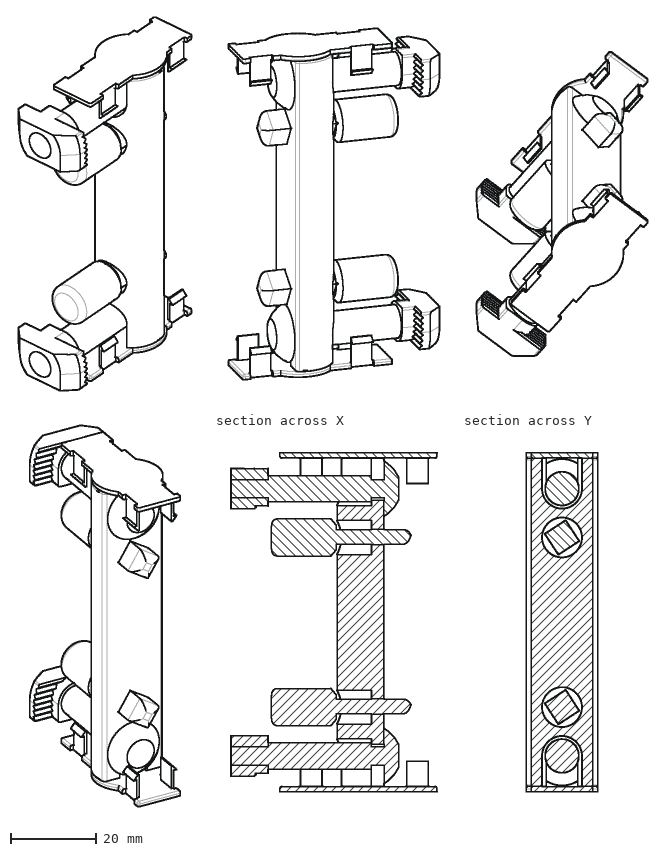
import cadquery as cq
import math

TOTAL_HEIGHT = 79.8
TOTAL_DEPTH = 48.5
SCREW_Z = 31.45
PIN_Z = 19.95
SIDES = (1, -1)

TUBE_RADIUS = 8.45
TUBE_FLAT_Y = 3.0
TUBE_CORNER_FILLET = 0.95
TUBE_END_FILLET = 0.4
BORE_DIAMETER = 9.3
REAR_SLOT_WIDTH = 7.35

CAP_THICKNESS = 1.3
CAP_WIDTH = 11.65
CAP_BACK_Y = 15.5
CAP_FRONT_Y = -21.55
CAP_FILLET = 0.5
CLIP_CENTERS_Y = (10.85, -14.1)
CLIP_WIDTH = 5.1
CLIP_THICKNESS = 0.55
CLIP_LENGTH = 7.3
NOTCH_DEPTH = 0.9
NOTCH_WIDTH = 5.6
BARB_HEIGHT = 1.3
BARB_TIP_WIDTH = 0.3

SHANK_DIAMETER = 8.0
TIP_DIAMETER = 6.6
HEAD_DIAMETER = 14.0
HEAD_TOP_DIAMETER = 7.35
HEAD_HEIGHT = 3.4
HEAD_BULGE = 0.2

NUT_HALF_LENGTH = 9.5
NUT_HALF_HEIGHT = 4.8
NUT_NECK_Y = -24.25
NUT_SHOULDER_Y = -27.05
NUT_SIDE_END_Y = -29.7
NUT_FACE_Y = CAP_BACK_Y - TOTAL_DEPTH
NUT_FACE_HALF_LENGTH = 6.2
NUT_FILLET = 0.5
TOOTH_PITCH = 1.4
TOOTH_DEPTH = 0.8

PIN_DIAMETER = 10.1
PIN_NOSE_Y = -23.55
PIN_NOSE_FILLET = 1.4
PIN_SHOULDER_Y = -9.5
PIN_CONE_LENGTH = 1.3
PIN_SQUARE = 5.9
PIN_SQUARE_TURN = 57.0
PIN_BACK_Y = 9.6
PIN_BACK_FILLET = 2.1

TUBE_HALF_LENGTH = TOTAL_HEIGHT / 2 - CAP_THICKNESS


def turned(profile):
    """Closed profile of (radius, y) turned about the Y axis."""
    return profile.close().revolve(360, (0, 0), (0, 1))


def cylinder_y(diameter, y_start, y_end):
    return cq.Workplane("XZ", origin=(0, y_start, 0)).circle(diameter / 2).extrude(y_start - y_end)


def square_bar():
    """Square bar along Y through the tube, turned about its own axis."""
    length = PIN_BACK_Y - PIN_SHOULDER_Y
    bar = cq.Workplane("XZ", origin=(0, PIN_BACK_Y, 0)).rect(PIN_SQUARE, PIN_SQUARE).extrude(length)
    return bar.rotate((0, 0, 0), (0, 1, 0), PIN_SQUARE_TURN)


def make_tube():
    half_chord = math.sqrt(TUBE_RADIUS**2 - TUBE_FLAT_Y**2)
    body = (
        cq.Workplane("XY", origin=(0, 0, -TUBE_HALF_LENGTH))
        .moveTo(-half_chord, TUBE_FLAT_Y)
        .threePointArc((0, -TUBE_RADIUS), (half_chord, TUBE_FLAT_Y))
        .close()
        .extrude(2 * TUBE_HALF_LENGTH)
        .edges("|Z")
        .fillet(TUBE_CORNER_FILLET)
        .faces("<Z or >Z")
        .edges()
        .fillet(TUBE_END_FILLET)
    )
    for side in SIDES:
        body = body.cut(end_slot(BORE_DIAMETER, 0, -TUBE_RADIUS, side))
        body = body.cut(end_slot(REAR_SLOT_WIDTH, TUBE_FLAT_Y, 0, side))
        body = body.cut(cylinder_y(BORE_DIAMETER, 0, -TUBE_RADIUS).translate((0, 0, side * PIN_Z)))
        body = body.cut(square_bar().translate((0, 0, side * PIN_Z)))
    return body


def end_slot(width, y_start, y_end, side):
    """Round-bottomed slot at a screw, open at the tube end."""
    depth = y_start - y_end
    open_length = TUBE_HALF_LENGTH - SCREW_Z
    bottom = cylinder_y(width, y_start, y_end).translate((0, 0, side * SCREW_Z))
    opening = cq.Workplane("XY").box(width, depth, open_length)
    middle = (0, (y_start + y_end) / 2, side * (SCREW_Z + open_length / 2))
    return bottom.union(opening.translate(middle))


def make_clip(center_y):
    """Snap clip on the +X side of the upper cap, with an outward barb at its lower end."""
    outer = CAP_WIDTH / 2 - NOTCH_DEPTH
    top = TOTAL_HEIGHT / 2
    bottom = top - CLIP_LENGTH
    return (
        cq.Workplane("XZ", origin=(0, center_y + CLIP_WIDTH / 2, 0))
        .moveTo(outer - CLIP_THICKNESS, top)
        .lineTo(outer, top)
        .lineTo(outer, bottom + BARB_HEIGHT)
        .lineTo(CAP_WIDTH / 2, bottom + BARB_HEIGHT)
        .lineTo(outer - CLIP_THICKNESS + BARB_TIP_WIDTH, bottom)
        .lineTo(outer - CLIP_THICKNESS, bottom)
        .close()
        .extrude(CLIP_WIDTH)
    )


def make_cap():
    """Upper cap: a flat plate with a round middle and four snap clips."""
    length = CAP_BACK_Y - CAP_FRONT_Y
    plate_base = cq.Workplane("XY", origin=(0, 0, TUBE_HALF_LENGTH))
    strip = (
        plate_base.center(0, (CAP_BACK_Y + CAP_FRONT_Y) / 2)
        .rect(CAP_WIDTH, length)
        .extrude(CAP_THICKNESS)
        .edges("|Z")
        .fillet(CAP_FILLET)
    )
    cap = strip.union(plate_base.circle(TUBE_RADIUS).extrude(CAP_THICKNESS))
    cap = cap.faces("<Z").edges().fillet(CAP_FILLET)
    for center_y in CLIP_CENTERS_Y:
        notch = cq.Workplane("XY").box(NOTCH_DEPTH, NOTCH_WIDTH, 2 * CAP_THICKNESS)
        clip = make_clip(center_y)
        for side in SIDES:
            notch_x = side * (CAP_WIDTH - NOTCH_DEPTH) / 2
            cap = cap.cut(notch.translate((notch_x, center_y, TOTAL_HEIGHT / 2)))
        cap = cap.union(clip).union(clip.mirror("YZ"))
    return cap


def make_screw():
    """Button-head screw with a thicker shank in the tube bore; its tip ends flush with the nut face."""
    head_radius = HEAD_DIAMETER / 2
    top_radius = HEAD_TOP_DIAMETER / 2
    head_top = TUBE_FLAT_Y + HEAD_HEIGHT
    dome_middle = (
        (head_radius + top_radius) / 2 + HEAD_BULGE,
        TUBE_FLAT_Y + HEAD_HEIGHT / 2 + HEAD_BULGE,
    )
    return turned(
        cq.Workplane("XY")
        .moveTo(0, head_top)
        .lineTo(top_radius, head_top)
        .threePointArc(dome_middle, (head_radius, TUBE_FLAT_Y))
        .lineTo(TIP_DIAMETER / 2, TUBE_FLAT_Y)
        .lineTo(TIP_DIAMETER / 2, 0)
        .lineTo(SHANK_DIAMETER / 2, 0)
        .lineTo(SHANK_DIAMETER / 2, NUT_NECK_Y)
        .lineTo(TIP_DIAMETER / 2, NUT_NECK_Y)
        .lineTo(TIP_DIAMETER / 2, NUT_FACE_Y)
        .lineTo(0, NUT_FACE_Y)
    )


def closed_outline(points):
    return cq.Workplane("XY").polyline(points).close()


def half_round_block(points):
    """Block from a (x, y) profile: swept round in two opposite quadrants, straight in the other two."""
    straight = closed_outline(points).extrude(-NUT_HALF_HEIGHT)
    straight = straight.edges("|Y").edges(">X").edges("<Z").fillet(NUT_FILLET)
    swept = closed_outline(points).revolve(90, (0, 0), (0, -1))
    slab = cq.Workplane("XY").box(2 * NUT_HALF_LENGTH, 2 * TOTAL_DEPTH, 2 * NUT_HALF_HEIGHT)
    swept = swept.intersect(slab)
    outer_radius = max(x for x, y in points)
    if outer_radius > NUT_HALF_HEIGHT:
        swept = swept.edges("|Y").edges(">Z").edges(">X").fillet(NUT_FILLET)
    half = straight.union(swept)
    return half.union(half.rotate((0, 0, 0), (0, 1, 0), 180))


def make_nut():
    """Hammer nut with a serrated shoulder around its neck."""
    shoulder = half_round_block([
        (0, NUT_SHOULDER_Y),
        (NUT_HALF_LENGTH, NUT_SHOULDER_Y),
        (NUT_HALF_LENGTH, NUT_SIDE_END_Y),
        (NUT_FACE_HALF_LENGTH, NUT_FACE_Y),
        (0, NUT_FACE_Y),
    ])
    shoulder = shoulder.cut(serration_grooves())
    neck_end_y = NUT_SHOULDER_Y - TOOTH_DEPTH
    neck = half_round_block([
        (0, NUT_NECK_Y),
        (NUT_HALF_HEIGHT, NUT_NECK_Y),
        (NUT_HALF_HEIGHT, neck_end_y),
        (0, neck_end_y),
    ])
    return shoulder.union(neck).cut(cylinder_y(TIP_DIAMETER, NUT_NECK_Y, NUT_FACE_Y))


def serration_grooves():
    """V grooves along X, with a tooth tip at mid height."""
    groove_count = 2 * math.ceil(NUT_HALF_HEIGHT / TOOTH_PITCH)
    grooves = cq.Workplane("YZ", origin=(-NUT_HALF_LENGTH, 0, 0))
    for index in range(groove_count):
        center = (index - (groove_count - 1) / 2) * TOOTH_PITCH
        grooves = grooves.polyline([
            (NUT_SHOULDER_Y, center - TOOTH_PITCH / 2),
            (NUT_SHOULDER_Y - TOOTH_DEPTH, center),
            (NUT_SHOULDER_Y, center + TOOTH_PITCH / 2),
        ]).close()
    return grooves.extrude(2 * NUT_HALF_LENGTH)


def make_pin():
    """Locking pin: round head with a rounded nose, cone and square shank."""
    radius = PIN_DIAMETER / 2
    cone_y = PIN_SHOULDER_Y + PIN_CONE_LENGTH
    head = turned(
        cq.Workplane("XY")
        .moveTo(0, cone_y)
        .lineTo(radius - PIN_CONE_LENGTH, cone_y)
        .lineTo(radius, PIN_SHOULDER_Y)
        .lineTo(radius, PIN_NOSE_Y)
        .lineTo(0, PIN_NOSE_Y)
    )
    head = head.faces("<Y").edges().fillet(PIN_NOSE_FILLET)
    shank = square_bar().faces(">Y").edges().fillet(PIN_BACK_FILLET)
    return head.union(shank)


tube = make_tube()
upper_cap = make_cap()
caps = [upper_cap, upper_cap.mirror("XY")]
screws = [make_screw().translate((0, 0, side * SCREW_Z)) for side in SIDES]
nuts = [make_nut().translate((0, 0, side * SCREW_Z)) for side in SIDES]
pins = [make_pin().translate((0, 0, side * PIN_Z)) for side in SIDES]

result = cq.Compound.makeCompound([body.val() for body in [tube, *caps, *screws, *nuts, *pins]])